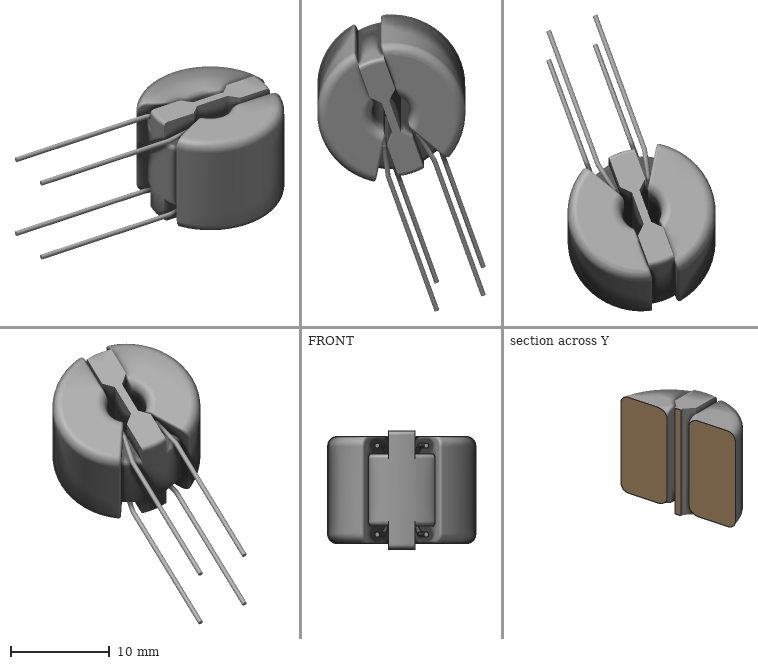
import math

import cadquery as cq


core_outer_radius = 6.4
core_inner_radius = 3.0
core_half_height = 3.65
core_edge_radius = 0.45

plate_half_width = 1.35
plate_half_height = 6.0
web_half_width = 0.4
web_half_length = 1.8
slot_half_length = web_half_length + plate_half_width - web_half_width

winding_outer_radius = 7.5
winding_inner_radius = 2.0
winding_half_height = 5.43
winding_edge_radius = 1.0
winding_end_radius = 0.25
winding_end_angle = math.radians(30)
winding_end_offset = 0.19

lead_radius = 0.25
lead_x = 2.49
lead_z = 4.5
lead_tip_y = -21.41
lead_tip = (-lead_x, lead_tip_y, lead_z)
lead_bend = (-lead_x, -6.27, lead_z)
lead_exit = (-1.85, -3.15, lead_z)
lead_root = (-1.6, -2.3, 3.8)


def revolved_ring(plane, inner_radius, outer_radius, half_height):
    """A plain ring about Z, its seam on the negative side of the plane's first axis."""
    width = outer_radius - inner_radius
    middle = (inner_radius + outer_radius) / 2
    return (
        cq.Workplane(plane)
        .center(-middle, 0)
        .rect(width, 2 * half_height)
        .revolve(360, (middle, -1, 0), (middle, 1, 0))
    )


def make_core():
    """The ring core with rounded rims."""
    ring = revolved_ring("YZ", core_inner_radius, core_outer_radius, core_half_height)
    return ring.faces("|Z").edges().fillet(core_edge_radius)


def make_plate():
    """A bar cut from a rounded disc, with a notch in each side to leave the web."""
    disc = cq.Workplane("XY").circle(core_outer_radius).extrude(2 * plate_half_height)
    disc = disc.translate((0, 0, -plate_half_height))
    disc = disc.faces("|Z").edges().fillet(core_edge_radius)
    bar = cq.Workplane("XY").box(2 * plate_half_width, 2 * core_outer_radius, 2 * plate_half_height)
    plate = disc.intersect(bar)
    for side in (-1, 1):
        notch = (
            cq.Workplane("XY")
            .moveTo(side * plate_half_width, -slot_half_length)
            .lineTo(side * web_half_width, -web_half_length)
            .lineTo(side * web_half_width, web_half_length)
            .lineTo(side * plate_half_width, slot_half_length)
            .close()
            .extrude(plate_half_height, both=True)
        )
        plate = plate.cut(notch)
    return plate


def make_left_winding():
    """A rounded ring cut off flush with the plate at +Y and by a slanted plane at -Y."""
    ring = revolved_ring("XZ", winding_inner_radius, winding_outer_radius, winding_half_height)
    ring = ring.faces("|Z").edges().fillet(winding_edge_radius)

    reach = 2 * winding_outer_radius
    slope = math.tan(winding_end_angle)
    axis_crossing_x = -winding_end_offset / math.cos(winding_end_angle)
    corner_y = (axis_crossing_x + plate_half_width) / -slope
    sector = (
        cq.Workplane("XY")
        .moveTo(-plate_half_width, reach)
        .lineTo(-plate_half_width, corner_y)
        .lineTo(axis_crossing_x - slope * reach, -reach)
        .lineTo(-reach, -reach)
        .lineTo(-reach, reach)
        .close()
        .extrude(winding_half_height, both=True)
    )
    winding = ring.intersect(sector)
    return round_ends(winding)


def round_ends(winding):
    """Round the rims of the +Y end face and of the slanted -Y end face of the left winding."""
    middle_radius = (winding_inner_radius + winding_outer_radius) / 2
    slanted_face_point = (
        -middle_radius * math.sin(winding_end_angle),
        -middle_radius * math.cos(winding_end_angle),
        0,
    )
    plate_face_point = (-plate_half_width, middle_radius, 0)
    rim = []
    for point in (slanted_face_point, plate_face_point):
        rim += winding.faces(cq.NearestToPointSelector(point)).edges().vals()
    return winding.newObject(rim).fillet(winding_end_radius)


def make_left_lead():
    """One wire: a straight tail, a slanted run and a short root dipping into the winding."""
    stops = [cq.Vector(*point) for point in (lead_tip, lead_bend, lead_exit, lead_root)]
    lead = cq.Workplane("XY")
    for start, end in zip(stops, stops[1:]):
        run = end - start
        lead = lead.add(cq.Solid.makeCylinder(lead_radius, run.Length, start, run))
    for bend in stops[1:-1]:
        lead = lead.add(cq.Workplane("XY").sphere(lead_radius).translate(bend).val())
    return lead.combine()


upper_lead = make_left_lead()
left_half = make_left_winding().union(upper_lead).union(upper_lead.mirror("XY"))
result = make_core().union(make_plate())
result = result.union(left_half).union(left_half.mirror("YZ"))